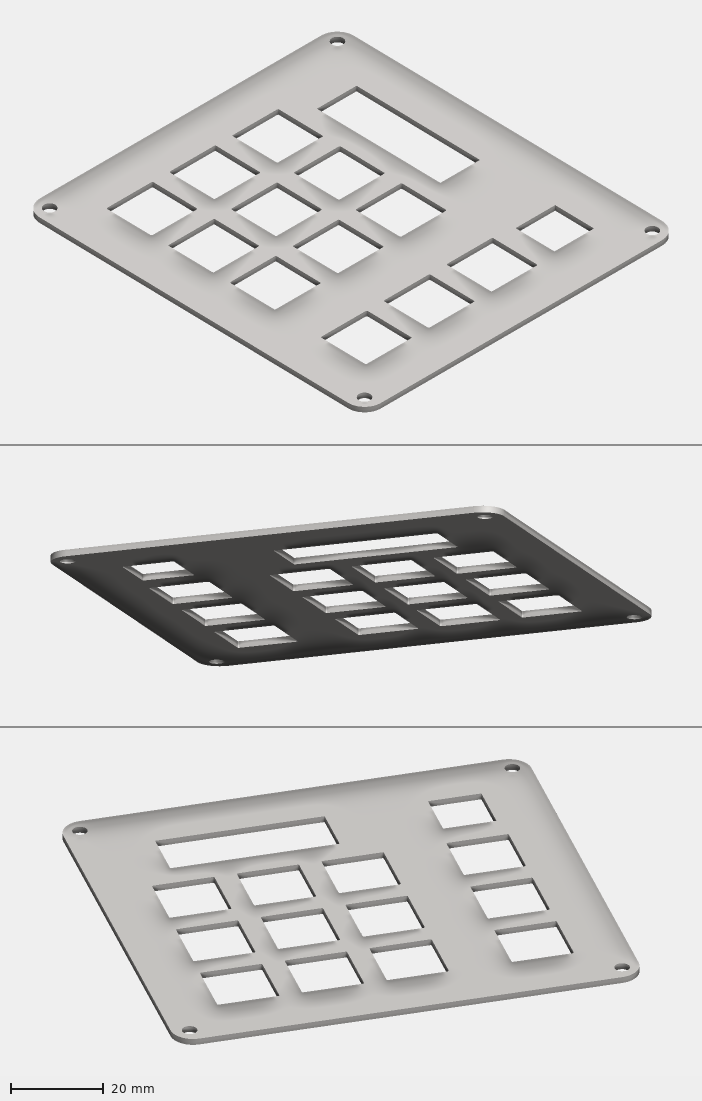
import cadquery as cq

plate_length = 105.0
plate_width = 95.0
plate_thickness = 1.5
plate_corner_radius = 5.0

screw_hole_diameter = 3.4
screw_hole_inset = 4.0

key_size = 14.0
key_corner_radius = 0.3
key_pitch = 19.0
key_block_columns = 3
key_rows = 3
key_block_center_x = -13.9
key_rows_center_y = -8.9
side_column_x = 33.2

display_length = 38.0
display_center_x = -15.0
knob_size = 12.0
top_openings_center_y = 29.1


def through_cutter(length, width, centers):
    """Rectangular prisms as tall as the plate, one at each centre."""
    return (
        cq.Workplane("XY")
        .pushPoints(centers)
        .rect(length, width)
        .extrude(plate_thickness)
    )


def centered_positions(count, pitch, center):
    """Evenly spaced positions, symmetric about the given centre."""
    return [center + (i - (count - 1) / 2) * pitch for i in range(count)]


plate = (
    cq.Workplane("XY")
    .rect(plate_length, plate_width)
    .extrude(plate_thickness)
    .edges("|Z")
    .fillet(plate_corner_radius)
)

plate = (
    plate.faces(">Z")
    .workplane(origin=(0, 0, plate_thickness))
    .rect(
        plate_length - 2 * screw_hole_inset,
        plate_width - 2 * screw_hole_inset,
        forConstruction=True,
    )
    .vertices()
    .hole(screw_hole_diameter)
)

key_columns = centered_positions(key_block_columns, key_pitch, key_block_center_x)
key_columns.append(side_column_x)
key_row_positions = centered_positions(key_rows, key_pitch, key_rows_center_y)
key_centers = [(x, y) for x in key_columns for y in key_row_positions]
keys = through_cutter(key_size, key_size, key_centers).edges("|Z").fillet(key_corner_radius)

display = through_cutter(display_length, knob_size, [(display_center_x, top_openings_center_y)])
knob = through_cutter(knob_size, knob_size, [(side_column_x, top_openings_center_y)])

result = plate.cut(keys).cut(display).cut(knob)